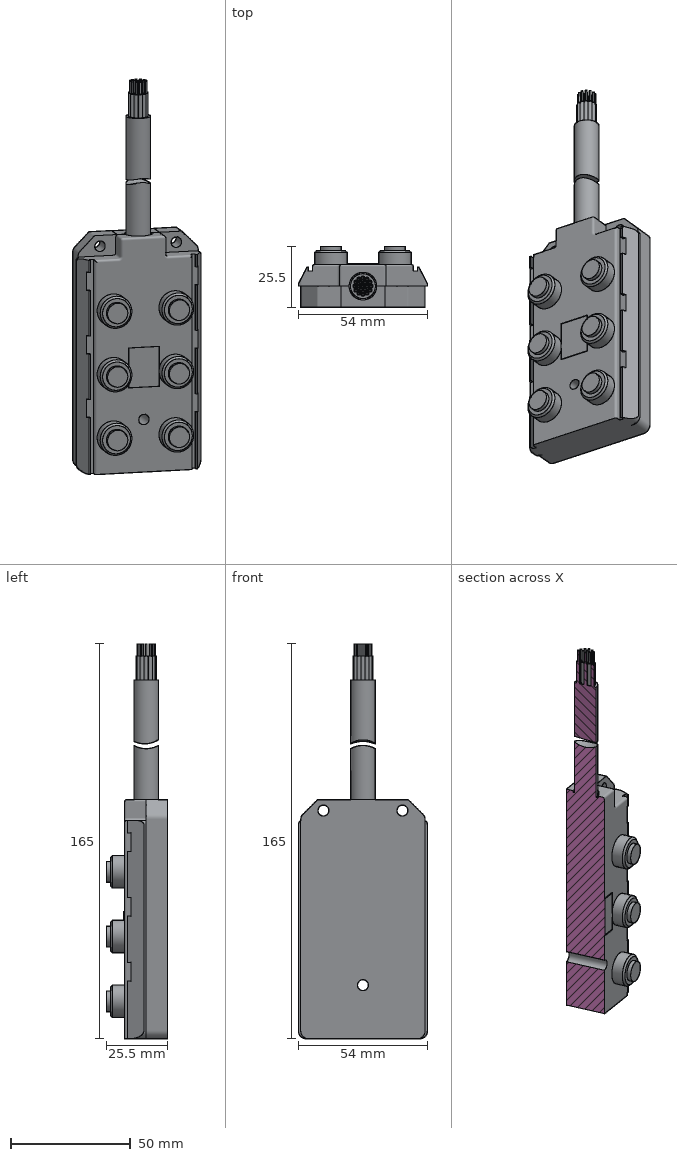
import cadquery as cq
import math


housing_height = 100.0
base_width = 52.0
base_depth = 8.9
base_corner_cut = 7.1
cut_side_radius = 2.8
cut_top_radius = 0.8
bottom_radius = 3.3

cover_width = 54.0
cover_height = 91.2
cover_depth = 18.0
cover_lip_depth = 9.9
rim_depth = 16.8
rim_outer_x = 23.5
groove_outer_x = 22.8
groove_inner_x = 21.1
groove_floor = 15.3
cover_top_radius = 1.6
edge_radius = 1.0

boss_width = 19.5
entry_recess_width = 18.3
entry_recess_depth = 0.08

socket_pitch = 27.0
socket_first_z = 15.7
socket_rows = 3
socket_x = 13.4
collar_diameter = 13.7
collar_top = 23.8
collar_chamfer = 0.8
insert_diameter = 8.7
insert_top = 25.5

notch_length = 7.8
notch_above_socket = 12.4

pad_width = 13.2
pad_bottom = 36.3
pad_top = 53.3
pad_thickness = 0.3

screw_diameter = 4.5
upper_screw_x = 16.5
upper_screw_z = housing_height - 4.6
lower_screw_z = 22.5

cable_diameter = 10.4
cable_y = base_depth
seal_diameter = 11.5
seal_depth = 0.8
cable_top = 165.0
conductor_length = 5.1
insulation_length = 9.9
jacket_top = cable_top - conductor_length - insulation_length

break_crown_z = 124.5
break_hollow_z = 121.3
break_radius = 10.7
arch_tilt = 4.0

insulation_diameter = 1.6
conductor_diameter = 0.8
wire_clearance = 0.05
wire_pitch = insulation_diameter + wire_clearance
wire_ring_counts = (1, 6, 12)


def rod_along_y(x, z, diameter, y_start, y_end):
    """Round rod with its axis along Y."""
    return (
        cq.Workplane("XZ", origin=(x, y_start, z))
        .circle(diameter / 2)
        .extrude(y_start - y_end)
    )


def rod_along_z(x, y, diameter, z_start, z_end):
    """Round rod with its axis along Z."""
    return (
        cq.Workplane("XY", origin=(x, y, z_start))
        .circle(diameter / 2)
        .extrude(z_end - z_start)
    )


def block(x_range, y_range, z_range):
    """Rectangular block between the given limits."""
    corner = (x_range[0], y_range[0], z_range[0])
    size = (x_range[1] - x_range[0], y_range[1] - y_range[0], z_range[1] - z_range[0])
    return cq.Workplane("XY", origin=corner).box(*size, centered=False)


def make_base():
    """Plate with two cut upper corners and two rounded lower corners."""
    half = base_width / 2
    plate = (
        cq.Workplane("XZ")
        .moveTo(-half, 0)
        .lineTo(half, 0)
        .lineTo(half, housing_height - base_corner_cut)
        .lineTo(half - base_corner_cut, housing_height)
        .lineTo(-half + base_corner_cut, housing_height)
        .lineTo(-half, housing_height - base_corner_cut)
        .close()
        .extrude(-base_depth)
    )
    plate = plate.edges("|Y").edges("<Z").fillet(bottom_radius)
    plate = plate.edges("|Y").edges(">Z").fillet(cut_top_radius)
    around_cut = cq.selectors.BoxSelector(
        (-half - edge_radius, 0, housing_height - base_corner_cut - edge_radius),
        (half + edge_radius, base_depth, housing_height - base_corner_cut + edge_radius),
    )
    plate = plate.edges("|Y").edges(around_cut).fillet(cut_side_radius)

    half_recess = entry_recess_width / 2
    recess_heights = (housing_height - entry_recess_depth, housing_height)
    return plate.cut(block((-half_recess, half_recess), (0, base_depth), recess_heights))


def make_cover():
    """Sloped-sided cover with a groove along each side and a boss for the cable."""
    half = cover_width / 2
    right_side = [
        (half, base_depth),
        (half, cover_lip_depth),
        (rim_outer_x, rim_depth),
        (groove_outer_x, rim_depth),
        (groove_outer_x, groove_floor),
        (groove_inner_x, groove_floor),
        (groove_inner_x, cover_depth),
    ]
    left_side = [(-x, y) for x, y in reversed(right_side)]
    section = cq.Workplane("XY").polyline(right_side + left_side).close().extrude(cover_height)
    outline = block((-half, half), (0, cover_depth), (0, cover_height))
    outline = outline.edges("|Y").edges("<Z").fillet(bottom_radius)
    outline = outline.edges("|Y").edges(">Z").fillet(cover_top_radius)

    half_boss = boss_width / 2
    boss = block((-half_boss, half_boss), (base_depth, cover_depth), (0, housing_height))
    cover = section.intersect(outline).union(boss)

    inner_corners = cq.selectors.BoxSelector(
        (-half_boss - edge_radius, base_depth, cover_height - edge_radius),
        (half_boss + edge_radius, cover_depth, cover_height + edge_radius),
    )
    cover = cover.edges("|Y").edges(inner_corners).fillet(edge_radius)
    cover = cover.edges("|Y").edges(">Z").fillet(edge_radius)
    upper_and_side_edges = cover.faces(">Y").edges("not <Z")
    return upper_and_side_edges.fillet(edge_radius)


def make_socket(x, z):
    """Round collar with a chamfered rim and a smaller insert standing out of it."""
    collar = rod_along_y(x, z, collar_diameter, base_depth, collar_top)
    collar = collar.faces(">Y").chamfer(collar_chamfer)
    return collar.union(rod_along_y(x, z, insert_diameter, base_depth, insert_top))


def make_rim_notches():
    """Notches through both rims, one pair above each row of sockets."""
    notches = cq.Workplane("XY")
    half = cover_width / 2
    for row in range(socket_rows):
        bottom = socket_first_z + row * socket_pitch + notch_above_socket - notch_length / 2
        for inner_x, outer_x in ((groove_inner_x, half), (-half, -groove_inner_x)):
            notches = notches.add(
                block((inner_x, outer_x), (groove_floor, cover_depth), (bottom, bottom + notch_length))
            )
    return notches.combine()


def make_break():
    """Gap that separates the two lengths of cable: the overlap of two crossed cylinders."""
    reach = cable_diameter
    arch = rod_along_y(0, break_crown_z - break_radius, 2 * break_radius, -reach, reach)
    arch = arch.rotate((0, 0, break_crown_z), (1, 0, break_crown_z), -arch_tilt)
    hollow = rod_along_y(0, break_hollow_z + break_radius, 2 * break_radius, -reach, reach)
    hollow = hollow.rotate((0, 0, 0), (0, 0, 1), 90)
    return arch.intersect(hollow).translate((0, cable_y, 0))


def make_wire(x, y):
    """Insulated wire with a bare end."""
    overlap = insulation_diameter
    insulation = rod_along_z(x, y, insulation_diameter, jacket_top - overlap, cable_top - conductor_length)
    conductor = rod_along_z(x, y, conductor_diameter, jacket_top, cable_top)
    return insulation.union(conductor)


def make_housing(cable_lengths):
    """Base, cover, sockets and the lower length of cable."""
    body = make_base().union(make_cover())
    body = body.cut(make_rim_notches())

    half_pad = pad_width / 2
    pad_range = (base_depth, cover_depth + pad_thickness)
    body = body.union(block((-half_pad, half_pad), pad_range, (pad_bottom, pad_top)))
    for row in range(socket_rows):
        for x in (-socket_x, socket_x):
            body = body.union(make_socket(x, socket_first_z + row * socket_pitch))

    screw_places = [(-upper_screw_x, upper_screw_z), (upper_screw_x, upper_screw_z), (0, lower_screw_z)]
    for x, z in screw_places:
        body = body.cut(rod_along_y(x, z, screw_diameter, 0, cover_depth))

    seal_floor = housing_height - seal_depth
    body = body.cut(rod_along_z(0, cable_y, seal_diameter, seal_floor, housing_height))
    return body.union(cable_lengths.solids("<Z"))


def make_cable_end(cable_lengths):
    """Upper length of cable with its stripped wires."""
    cable_end = cable_lengths.solids(">Z")
    for ring, count in enumerate(wire_ring_counts):
        for index in range(count):
            angle = 2 * math.pi * index / count
            x = ring * wire_pitch * math.cos(angle)
            y = cable_y + ring * wire_pitch * math.sin(angle)
            cable_end = cable_end.union(make_wire(x, y))
    return cable_end


cable_start = housing_height - seal_depth
cable = rod_along_z(0, cable_y, cable_diameter, cable_start, jacket_top).cut(make_break())

housing = make_housing(cable)
cable_end = make_cable_end(cable)

result = cq.Compound.makeCompound([housing.val(), cable_end.val()])